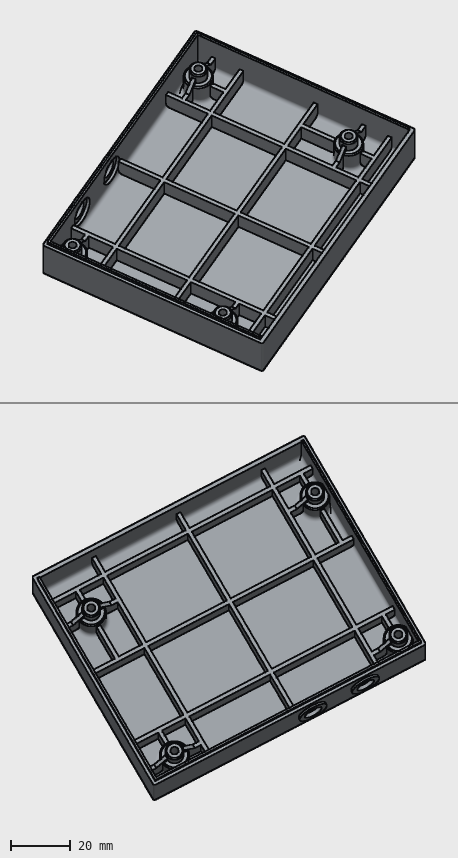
import cadquery as cq
import math

length_x = 84.9
length_y = 104.4
body_height = 15.3
corner_radius = 0.7

wall = 2.0
plus_x_wall = 1.6
floor = 1.5
floor_fillet = 1.5
lip_inset = 1.2
lip_height = 1.1
inner_end_x = length_x - plus_x_wall
inner_end_y = length_y - wall

rib_start = wall / 2
rib_end_x = inner_end_x + plus_x_wall / 2
rib_end_y = inner_end_y + wall / 2
rib_width = 1.5
rib_top = 7.8
rib_pitch_x = 28.6
rib_pitch_y = 32.4
grid_center = (47.5, 49.1)
rib_xs = [grid_center[0] + step * rib_pitch_x for step in (-1, 0, 1)]
rib_ys = [grid_center[1] + step * rib_pitch_y for step in (-1, 0, 1)]

first_boss_x = 8.1
boss_spacing_x = 58.0
boss_spacing_y = 85.8
boss_xs = [first_boss_x, first_boss_x + boss_spacing_x]
boss_ys = [grid_center[1] - boss_spacing_y / 2, grid_center[1] + boss_spacing_y / 2]
boss_radius = 5.0
boss_shoulder = 9.5
shoulder_chamfer = 0.5
foot_fillet = 1.5
stem_radius = 3.1
stem_top = 13.5
stem_chamfer = 0.5
screw_hole_diameter = 2.7

gusset_top = 11.6
gusset_reach = 7.4

entry_ys = [23.6, 43.7]
entry_z = 8.1
entry_outer_diameter = 10.4
entry_hole_diameter = 6.4
entry_protrusion = 0.8
entry_recess_depth = 1.2


def box(x0, x1, y0, y1, z0, z1):
    """Axis-aligned block between two opposite corners."""
    return cq.Workplane("XY").box(x1 - x0, y1 - y0, z1 - z0, centered=False).translate((x0, y0, z0))


def make_shell():
    body = box(0, length_x, 0, length_y, 0, body_height).edges("|Z").fillet(corner_radius)
    lip_top = body_height + lip_height
    lip = box(lip_inset, inner_end_x, lip_inset, length_y - lip_inset, floor, lip_top)
    cavity = box(wall, inner_end_x, wall, inner_end_y, floor, lip_top).faces("<Z").edges().fillet(floor_fillet)
    return body.union(lip).cut(cavity)


def rib_along_x(x0, x1, y):
    return box(x0, x1, y - rib_width / 2, y + rib_width / 2, 0, rib_top)


def rib_along_y(x, y0, y1):
    return box(x - rib_width / 2, x + rib_width / 2, y0, y1, 0, rib_top)


def make_grid():
    grid = cq.Workplane("XY")
    for x in rib_xs:
        grid = grid.add(rib_along_y(x, rib_start, rib_end_y))
    for y in rib_ys:
        grid = grid.add(rib_along_x(rib_start, rib_end_x, y))
    return grid.combine()


def make_boss_ribs():
    """Low ribs that tie the bosses to the grid and to the +Y wall."""
    ribs = cq.Workplane("XY")
    for y in boss_ys:
        ribs = ribs.add(rib_along_x(boss_xs[0], rib_xs[0], y))
        ribs = ribs.add(rib_along_x(rib_xs[1], rib_xs[2], y))
    for x in boss_xs:
        ribs = ribs.add(rib_along_y(x, boss_ys[0], rib_ys[0]))
        ribs = ribs.add(rib_along_y(x, rib_ys[2], rib_end_y))
    return ribs.combine()


def make_gusset(x, y, direction):
    """Sloped web from the stem down to the rib; direction is +1 for +Y, -1 for -Y."""
    return (
        cq.Workplane("YZ")
        .moveTo(0, 0)
        .lineTo(0, gusset_top)
        .lineTo(direction * stem_radius, gusset_top)
        .lineTo(direction * gusset_reach, rib_top)
        .lineTo(direction * gusset_reach, 0)
        .close()
        .extrude(rib_width / 2, both=True)
        .translate((x, y, 0))
    )


def make_boss(x, y):
    """Stepped round post with a flared foot, revolved about its own axis."""
    foot_radius = boss_radius + foot_fillet
    foot_top = floor + foot_fillet
    foot_middle = foot_fillet * (1 - math.cos(math.radians(45)))
    return (
        cq.Workplane("XZ")
        .moveTo(0, 0)
        .lineTo(foot_radius, 0)
        .lineTo(foot_radius, floor)
        .threePointArc((boss_radius + foot_middle, floor + foot_middle), (boss_radius, foot_top))
        .lineTo(boss_radius, boss_shoulder - shoulder_chamfer)
        .lineTo(boss_radius - shoulder_chamfer, boss_shoulder)
        .lineTo(stem_radius, boss_shoulder)
        .lineTo(stem_radius, stem_top - stem_chamfer)
        .lineTo(stem_radius - stem_chamfer, stem_top)
        .lineTo(0, stem_top)
        .close()
        .revolve(360, (0, 0, 0), (0, 1, 0))
        .translate((x, y, 0))
    )


def make_bosses():
    """Four bosses; those near the -Y wall have a gusset on their +Y side only.

    Clipped halfway into the walls so that the flared feet stay inside the shell.
    """
    inner_space = box(rib_start, rib_end_x, rib_start, rib_end_y, 0, stem_top)
    bosses = make_boss_ribs()
    for x in boss_xs:
        for y in boss_ys:
            bosses = bosses.union(make_boss(x, y)).union(make_gusset(x, y, 1))
        bosses = bosses.union(make_gusset(x, boss_ys[1], -1))
    return bosses.intersect(inner_space)


def make_screw_holes():
    centers = [(x, y) for x in boss_xs for y in boss_ys]
    return cq.Workplane("XY").pushPoints(centers).circle(screw_hole_diameter / 2).extrude(stem_top)


def entry_cylinders(diameter, x0, x1):
    """Cylinders along X at the cable entries, from x0 to x1."""
    centers = [(y, entry_z) for y in entry_ys]
    return cq.Workplane("YZ", origin=(x0, 0, 0)).pushPoints(centers).circle(diameter / 2).extrude(x1 - x0)


def add_cable_entries(body):
    """Raised rings outside the -X wall, through holes, and matching recesses inside."""
    body = body.union(entry_cylinders(entry_outer_diameter, -entry_protrusion, wall))
    body = body.cut(entry_cylinders(entry_outer_diameter, wall - entry_recess_depth, wall))
    return body.cut(entry_cylinders(entry_hole_diameter, -entry_protrusion, wall))


result = make_shell().union(make_grid()).union(make_bosses())
result = result.cut(make_screw_holes())
result = add_cable_entries(result)